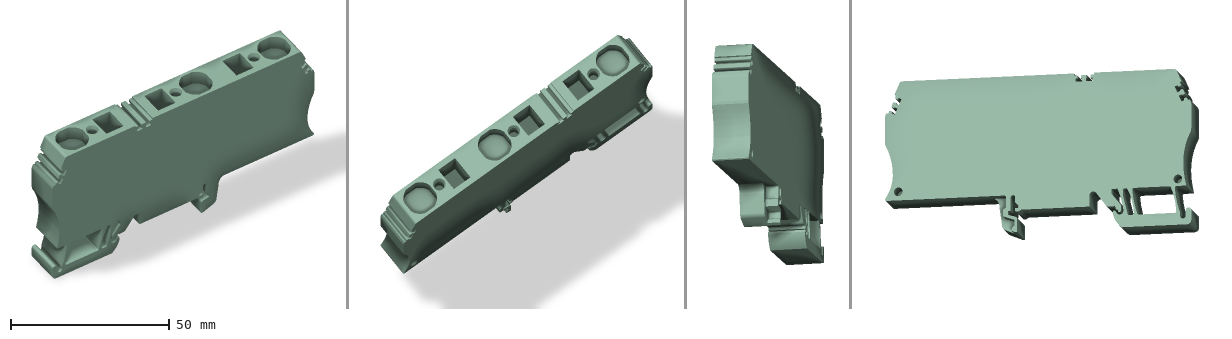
import cadquery as cq
import math


THICKNESS = 12.0
LENGTH = 99.08
HEIGHT = 50.5
HALF_LENGTH = LENGTH / 2

SLOPE_ANGLE = 66.0
SHOULDER_Z = 39.3
TOP_CORNER_RADIUS = 1.0
SHOULDER_RADIUS = 2.0
END_BOTTOM_Z = 31.0
END_BLEND = 0.12
WAIST_TOP_Z = 30.1
WAIST_Z = 20.0
WAIST_HALF = 46.95
FLARE_HALF, FLARE_Z = 47.5, 25.0
HOUSING_BOTTOM_Z = 12.0
FOOT_CEILING_Z = 12.56
CEILING_STEP_Y = -20.0
HEEL_Y = -47.85
HEEL_TOP_Z = 12.95

COMB_HALF = 3.25
COMB_LEDGE_DEPTH = 0.6
COMB_NECK_DEPTH = 1.65
COMB_DEPTH = 2.7
NECK_INNER, NECK_OUTER = 0.9, 2.1
POCKET_INNER, POCKET_OUTER = 0.6, 2.7
LEDGE_ROUND = 0.3
TOOTH_ROUND = 0.25
TOP_COMB_Y = -14.84
END_COMB_Z = 43.4

TERMINALS = [(38.25, -1), (8.65, -1), (-38.2, 1)]
ENTRY_RADIUS = 5.3
ENTRY_WIDTH = 9.95
ENTRY_LENGTH = 10.0
ENTRY_DEPTH = 5.0
SCREW_OFFSET = 7.6
SCREW_TOP_RADIUS = 2.0
SCREW_RADIUS = 1.5
SCREW_CONE_DEPTH = 1.2
SCREW_DEPTH = 5.0
WINDOW_OFFSET = 13.6
WINDOW_WIDTH = 8.1
WINDOW_LENGTH = 6.6
WINDOW_DEPTH = 10.0

PIN_HOLE_Y = 45.2
PIN_HOLE_Z = 14.8
PIN_HOLE_RADIUS = 1.4
PIN_HOLE_DEPTH = 6.0

RAIL_SEAT_Z = 7.18
CLIP_RECESS_DEPTH = 4.0
OPENING_FLOOR_Z = 3.89
FOOT_CORNER_RADIUS = 1.4
FOOT_TIP_RADIUS = 0.9
OVERLAP = 1.0


def start(y, z):
    """Begin a profile in the YZ plane on the -X side."""
    return cq.Workplane("YZ", origin=(-THICKNESS / 2, 0, 0)).moveTo(y, z)


def across(profile):
    """Close a profile and extrude it over the full thickness."""
    return profile.close().extrude(THICKNESS)


def edges_at_height(z):
    """Selector for the edges along X at height z."""
    margin = 0.1
    return cq.selectors.BoxSelector(
        (-margin, -LENGTH, z - margin), (margin, LENGTH, z + margin)
    )


def shoulder_y(z):
    """Distance from mid-length to the slanted shoulder at height z."""
    return HALF_LENGTH - (z - SHOULDER_Z) / math.tan(math.radians(SLOPE_ANGLE))


def housing():
    top_y = shoulder_y(HEIGHT)
    profile = (
        start(-top_y, HEIGHT)
        .lineTo(top_y, HEIGHT)
        .lineTo(HALF_LENGTH, SHOULDER_Z)
        .lineTo(HALF_LENGTH, END_BOTTOM_Z)
        .lineTo(HALF_LENGTH - END_BLEND, WAIST_TOP_Z)
        .threePointArc((FLARE_HALF, FLARE_Z), (WAIST_HALF, WAIST_Z))
        .threePointArc((47.55, 16.5), (49.4, 12.7))
        .lineTo(HALF_LENGTH, 12.35)
        .lineTo(49.2, HOUSING_BOTTOM_Z)
        .lineTo(CEILING_STEP_Y, HOUSING_BOTTOM_Z)
        .lineTo(CEILING_STEP_Y, FOOT_CEILING_Z)
        .lineTo(HEEL_Y, FOOT_CEILING_Z)
        .lineTo(HEEL_Y, HEEL_TOP_Z)
        .threePointArc((-47.17, 16.6), (-WAIST_HALF, WAIST_Z))
        .threePointArc((-FLARE_HALF, FLARE_Z), (-HALF_LENGTH + END_BLEND, WAIST_TOP_Z))
        .lineTo(-HALF_LENGTH, END_BOTTOM_Z)
        .lineTo(-HALF_LENGTH, SHOULDER_Z)
    )
    body = across(profile)
    body = body.edges(edges_at_height(HEIGHT)).fillet(TOP_CORNER_RADIUS)
    return body.edges(edges_at_height(SHOULDER_Z)).fillet(SHOULDER_RADIUS)


def comb_cutter():
    """Comb grooves for a surface at Z = 0 that faces up, centred on Y = 0."""
    cutter = across(
        start(-COMB_HALF, -COMB_LEDGE_DEPTH)
        .lineTo(COMB_HALF, -COMB_LEDGE_DEPTH)
        .lineTo(COMB_HALF, COMB_DEPTH)
        .lineTo(-COMB_HALF, COMB_DEPTH)
    )
    for side in (1, -1):
        groove = across(
            start(side * (NECK_INNER - TOOTH_ROUND), -COMB_LEDGE_DEPTH)
            .radiusArc((side * NECK_INNER, -COMB_LEDGE_DEPTH - TOOTH_ROUND), side * TOOTH_ROUND)
            .lineTo(side * NECK_INNER, -COMB_NECK_DEPTH)
            .lineTo(side * POCKET_INNER, -COMB_NECK_DEPTH)
            .lineTo(side * POCKET_INNER, -COMB_DEPTH)
            .lineTo(side * POCKET_OUTER, -COMB_DEPTH)
            .lineTo(side * POCKET_OUTER, -COMB_NECK_DEPTH)
            .lineTo(side * NECK_OUTER, -COMB_NECK_DEPTH)
            .lineTo(side * NECK_OUTER, -COMB_LEDGE_DEPTH - LEDGE_ROUND)
            .radiusArc((side * (NECK_OUTER + LEDGE_ROUND), -COMB_LEDGE_DEPTH), side * LEDGE_ROUND)
        )
        cutter = cutter.union(groove)
    return cutter


def cut_combs(body):
    cutter = comb_cutter()
    body = body.cut(cutter.translate((0, TOP_COMB_Y, HEIGHT)))
    for side in (1, -1):
        tilted = cutter.rotate((0, 0, 0), (1, 0, 0), -side * SLOPE_ANGLE)
        body = body.cut(tilted.translate((0, side * shoulder_y(END_COMB_Z), END_COMB_Z)))
    return body


def cut_terminal(body, entry_y, direction):
    """Wire entry with flattened sides, screw hole and rectangular opening."""
    top = cq.Workplane("XY", origin=(0, entry_y, HEIGHT))
    flats = top.rect(ENTRY_WIDTH, ENTRY_LENGTH).extrude(-ENTRY_DEPTH)
    entry = top.circle(ENTRY_RADIUS).extrude(-ENTRY_DEPTH).intersect(flats)

    screw_top = top.center(0, direction * SCREW_OFFSET)
    screw = screw_top.circle(SCREW_RADIUS).extrude(-SCREW_DEPTH)
    cone = (
        screw_top.circle(SCREW_TOP_RADIUS)
        .workplane(offset=-SCREW_CONE_DEPTH)
        .circle(SCREW_RADIUS)
        .loft()
    )
    window = (
        top.center(0, direction * WINDOW_OFFSET)
        .rect(WINDOW_WIDTH, WINDOW_LENGTH)
        .extrude(-WINDOW_DEPTH)
    )
    return body.cut(entry).cut(screw).cut(cone).cut(window)


def cut_pin_holes(body):
    holes = (
        cq.Workplane("YZ", origin=(-THICKNESS / 2, 0, 0))
        .pushPoints([(PIN_HOLE_Y, PIN_HOLE_Z), (-PIN_HOLE_Y, PIN_HOLE_Z)])
        .circle(PIN_HOLE_RADIUS)
        .extrude(PIN_HOLE_DEPTH)
    )
    return body.cut(holes)


def rail_seat():
    """Block that rests on the rail, its small hook, and the arm ending in a tongue."""
    hook_y = 7.37
    hook_root_y = 6.17
    hook_top_z = 7.78
    seat_end_y = -16.64
    arm_bottom_z = 6.88
    arm_end_y = -23.81
    tongue_root_y = -25.01
    tongue_end_y = -26.8
    return across(
        start(hook_y, HOUSING_BOTTOM_Z + OVERLAP)
        .lineTo(hook_y, 9.54)
        .lineTo(hook_root_y, 8.32)
        .lineTo(hook_root_y, hook_top_z)
        .lineTo(hook_y, hook_top_z)
        .lineTo(hook_y, 6.78)
        .lineTo(6.6, 6.58)
        .lineTo(5.42, RAIL_SEAT_Z)
        .lineTo(seat_end_y, RAIL_SEAT_Z)
        .lineTo(seat_end_y, 11.1)
        .threePointArc((-17.4, 11.95), (-18.88, 11.36))
        .lineTo(-21.68, 7.63)
        .threePointArc((-22.1, 7.15), (-22.8, arm_bottom_z))
        .lineTo(-24.3, arm_bottom_z)
        .lineTo(-24.71, 7.15)
        .lineTo(tongue_root_y, 6.65)
        .lineTo(tongue_root_y, 5.98)
        .lineTo(-25.83, 5.71)
        .lineTo(-25.88, 5.05)
        .lineTo(-26.62, 5.05)
        .lineTo(tongue_end_y, 5.38)
        .lineTo(tongue_end_y, 6.73)
        .threePointArc((-26.7, 7.3), (-26.4, 7.8))
        .lineTo(arm_end_y, 10.92)
        .lineTo(arm_end_y, FOOT_CEILING_Z + OVERLAP)
    )


def clip_leg():
    """Leg hooking one rail edge: a full-width rim beside a web recessed from -X."""
    tip_y = 6.77
    slot_y = 7.37
    slot_shoulder_z = 11.4
    rim_y = 8.86
    notch_y = 9.76
    notch_z = 6.95
    recess_tip_y = 7.67
    recess_bottom_y = 8.6
    recess_top_y = 10.36
    recess_mid_y = 11.26
    recess_outer_y = 17.0
    leg = across(
        start(15.0, HOUSING_BOTTOM_Z + OVERLAP)
        .lineTo(15.2, HOUSING_BOTTOM_Z)
        .threePointArc((14.0, 11.2), (13.35, 9.16))
        .lineTo(12.44, 2.87)
        .threePointArc((12.2, 2.3), (11.59, 1.75))
        .lineTo(slot_y, 0.0)
        .lineTo(tip_y, 0.0)
        .lineTo(tip_y, 4.25)
        .threePointArc((7.1, 4.9), (7.6, 5.1))
        .lineTo(notch_y, 5.69)
        .lineTo(notch_y, notch_z)
        .lineTo(9.15, notch_z)
        .lineTo(rim_y, 7.32)
        .lineTo(rim_y, slot_shoulder_z)
        .threePointArc((8.14, 12.0), (slot_y, slot_shoulder_z))
        .lineTo(slot_y, HOUSING_BOTTOM_Z + OVERLAP)
    )
    recess = (
        start(recess_outer_y, HOUSING_BOTTOM_Z)
        .lineTo(10.9, HOUSING_BOTTOM_Z)
        .threePointArc((10.5, 11.8), (recess_top_y, slot_shoulder_z))
        .lineTo(recess_top_y, 8.09)
        .lineTo(recess_mid_y, 7.5)
        .lineTo(recess_mid_y, 5.3)
        .lineTo(8.2, 4.18)
        .threePointArc((7.8, 4.05), (recess_tip_y, 3.7))
        .lineTo(recess_tip_y, 2.03)
        .lineTo(8.25, 1.72)
        .lineTo(recess_bottom_y, 0.9)
        .lineTo(recess_bottom_y, -OVERLAP)
        .lineTo(recess_outer_y, -OVERLAP)
        .close()
        .extrude(CLIP_RECESS_DEPTH)
    )
    return leg.cut(recess)


def rail_foot():
    """Foot hanging on three slanted springs, with an upturned lip at its end."""
    narrow_start_y = -27.4
    spring_root_y = -44.5
    lip_inner_y = -47.74
    lip_tip_z = 4.56
    groove_round_z = 2.77
    groove_y = -45.91
    foot = across(
        start(-24.2, 5.45)
        .lineTo(-24.11, 4.79)
        .threePointArc((-25.1, 2.2), (-27.0, 0.0))
        .lineTo(-HALF_LENGTH + FOOT_CORNER_RADIUS, 0.0)
        .radiusArc((-HALF_LENGTH, FOOT_CORNER_RADIUS), FOOT_CORNER_RADIUS)
        .lineTo(-HALF_LENGTH, lip_tip_z)
        .radiusArc((lip_inner_y, lip_tip_z), FOOT_TIP_RADIUS)
        .lineTo(lip_inner_y, groove_round_z)
        .threePointArc(((lip_inner_y + groove_y) / 2, 2.0), (groove_y, groove_round_z))
        .lineTo(groove_y, OPENING_FLOOR_Z)
        .threePointArc((-44.75, 8.2), (-44.2, 12.0))
        .lineTo(spring_root_y, FOOT_CEILING_Z)
        .lineTo(spring_root_y, FOOT_CEILING_Z + OVERLAP)
        .lineTo(-25.6, FOOT_CEILING_Z + OVERLAP)
        .lineTo(-25.68, FOOT_CEILING_Z)
        .threePointArc((-26.8, 9.42), (-27.6, 5.53))
        .threePointArc((-26.5, 4.19), (-25.2, 5.1))
        .lineTo(-24.9, 5.53)
    )
    narrow_opening = across(
        start(-28.75, FOOT_CEILING_Z)
        .lineTo(-27.7, FOOT_CEILING_Z)
        .lineTo(narrow_start_y, 12.2)
        .lineTo(narrow_start_y, 10.47)
        .lineTo(-28.9, 4.4)
        .lineTo(-29.2, OPENING_FLOOR_Z)
        .lineTo(-30.6, OPENING_FLOOR_Z)
        .lineTo(-30.99, 4.5)
        .threePointArc((-30.2, 9.0), (-28.75, FOOT_CEILING_Z))
    )
    wide_opening = across(
        start(-42.8, FOOT_CEILING_Z)
        .lineTo(-30.8, FOOT_CEILING_Z)
        .lineTo(-30.45, 12.2)
        .threePointArc((-31.0, 8.3), (-32.05, 4.3))
        .threePointArc((-32.2, 4.02), (-32.6, OPENING_FLOOR_Z))
        .lineTo(-44.4, OPENING_FLOOR_Z)
        .lineTo(-44.7, 4.4)
        .threePointArc((-43.95, 9.2), (-42.8, FOOT_CEILING_Z))
    )
    return foot.cut(narrow_opening).cut(wide_opening)


result = cut_combs(housing())
for entry_y, direction in TERMINALS:
    result = cut_terminal(result, entry_y, direction)
result = cut_pin_holes(result)
result = result.union(rail_seat()).union(clip_leg()).union(rail_foot())